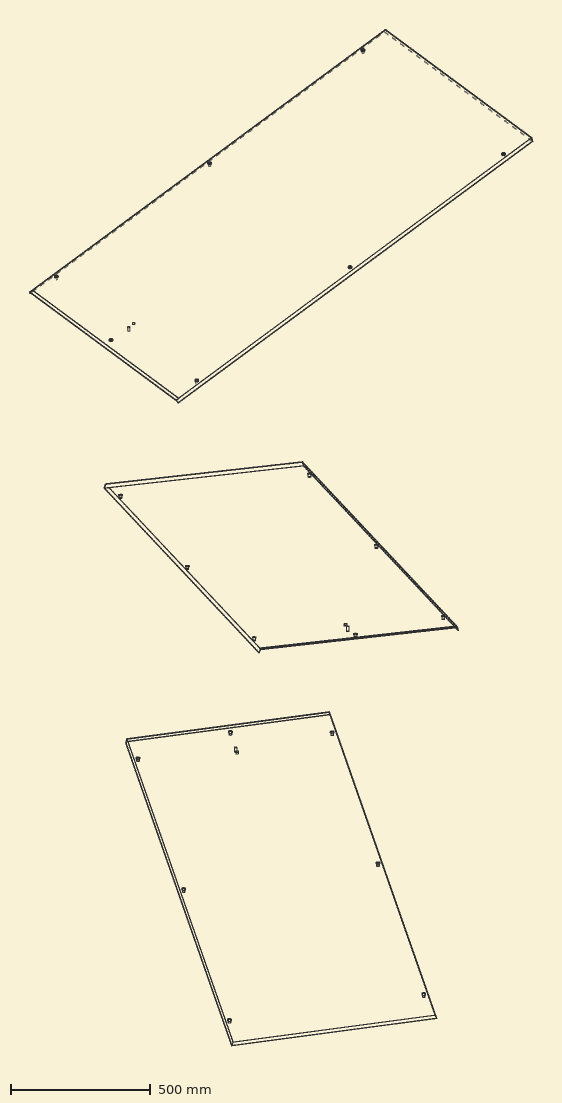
import cadquery as cq
import math

WIDTH = 749.88
LENGTH = 1796.01
HEIGHT = 15.8
SHEET = 1.5
SPLAY_ANGLE = 18.0
FRONT_SETBACK = 5.0
HEM_DEPTH = 14.0

SPLAY_SLOPE = math.tan(math.radians(SPLAY_ANGLE))
TOP_WIDTH = WIDTH - 2 * HEIGHT * SPLAY_SLOPE
FLANGE_RUN = SHEET / math.cos(math.radians(SPLAY_ANGLE))
FRONT_Y = -LENGTH / 2
BACK_Y = LENGTH / 2

OVERALL_HEIGHT = 22.5
HEAD_HEIGHT = 2.5
COLLAR_DIAMETER = 14.0
COLLAR_HEIGHT = 1.0
HEAD_DIAMETER = 8.0
SHANK_DIAMETER = 10.0
SHANK_LENGTH = 11.0
SIDE_SCREW_X = 355.0
SIDE_SCREW_PITCH = 774.5
SIDE_SCREW_ROW_Y = -4.5
FRONT_SCREW_Y = -858.0

STUD_DIAMETER = 8.0
LONG_STUD_Y = -768.0
LONG_STUD_TIP_Z = HEAD_HEIGHT - OVERALL_HEIGHT
SHORT_STUD_DIAMETER = 10.0
SHORT_STUD_Y = -743.0
SHORT_STUD_TIP_Z = -8.0

side_screw_points = [
    (side * SIDE_SCREW_X, SIDE_SCREW_ROW_Y + step * SIDE_SCREW_PITCH)
    for side in (-1, 1)
    for step in (-1, 0, 1)
]
screw_points = side_screw_points + [(0, FRONT_SCREW_Y)]


def half_width(z):
    """Half the outer width of the panel at height z (zero at the top face)."""
    return TOP_WIDTH / 2 - z * SPLAY_SLOPE


def trapezoid_bar(top_z, bottom_z, inset, front_y, back_y):
    """A bar along Y whose sides follow the splayed flanges, moved in by inset."""
    top_x = half_width(top_z) - inset
    bottom_x = half_width(bottom_z) - inset
    outline = [(-top_x, top_z), (top_x, top_z), (bottom_x, bottom_z), (-bottom_x, bottom_z)]
    bar = cq.Workplane("XZ").polyline(outline).close().extrude(back_y - front_y)
    return bar.translate((0, back_y, 0))


def front_cut():
    """Wedge that slopes the front ends of the side flanges back towards their lower edge."""
    outline = [(FRONT_Y, -SHEET), (FRONT_Y + FRONT_SETBACK, -HEIGHT), (FRONT_Y, -HEIGHT)]
    return cq.Workplane("YZ").polyline(outline).close().extrude(WIDTH / 2, both=True)


def stud(diameter, y, tip_z):
    """Round stud from the underside of the sheet down to tip_z."""
    base = cq.Workplane("XY").workplane(offset=-SHEET).center(0, y)
    return base.circle(diameter / 2).extrude(tip_z + SHEET)


def make_panel():
    shell = trapezoid_bar(0, -HEIGHT, 0, FRONT_Y, BACK_Y)
    hollow = trapezoid_bar(-SHEET, -HEIGHT, FLANGE_RUN, FRONT_Y, BACK_Y - SHEET)
    hem = trapezoid_bar(-SHEET, -2 * SHEET, FLANGE_RUN, FRONT_Y, FRONT_Y + HEM_DEPTH)
    panel = shell.cut(hollow).cut(front_cut()).union(hem)
    panel = panel.union(stud(STUD_DIAMETER, LONG_STUD_Y, LONG_STUD_TIP_Z))
    panel = panel.union(stud(SHORT_STUD_DIAMETER, SHORT_STUD_Y, SHORT_STUD_TIP_Z))
    screw_holes = (
        cq.Workplane("XY").pushPoints(screw_points).circle(SHANK_DIAMETER / 2).extrude(-SHEET)
    )
    return panel.cut(screw_holes)


def make_screw(x, y):
    collar = cq.Workplane("XY").circle(COLLAR_DIAMETER / 2).extrude(COLLAR_HEIGHT)
    head = cq.Workplane("XY").circle(HEAD_DIAMETER / 2).extrude(HEAD_HEIGHT)
    shank = cq.Workplane("XY").circle(SHANK_DIAMETER / 2).extrude(-SHANK_LENGTH)
    return collar.union(head).union(shank).translate((x, y, 0))


panel = make_panel()
screws = [make_screw(x, y) for x, y in screw_points]

result = cq.Compound.makeCompound([panel.val(), *[screw.val() for screw in screws]])